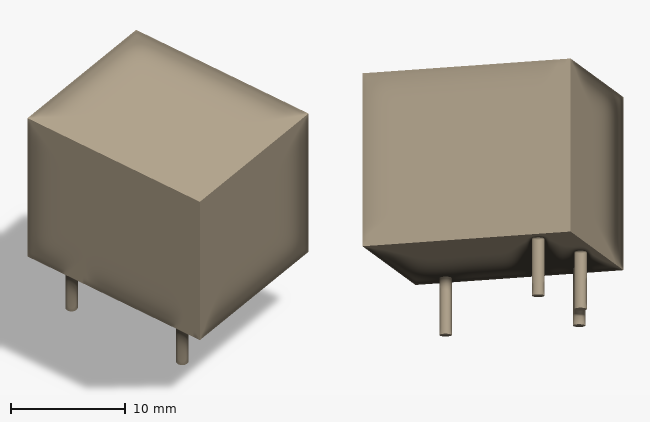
import cadquery as cq

housing_length = 19.0
housing_width = 15.5
total_height = 20.6
housing_height = 15.5

pin_diameter = 1.1
pin_length = total_height - housing_height
common_pin_x = -8.0
coil_pin_x = -6.0
contact_pin_x = 6.2
pin_row_y = 6.0

pin_places = [
    (common_pin_x, 0),
    (coil_pin_x, -pin_row_y),
    (coil_pin_x, pin_row_y),
    (contact_pin_x, -pin_row_y),
]


def make_housing():
    """Plain rectangular block, centred in X and Y."""
    return cq.Workplane("XY").box(
        housing_length, housing_width, housing_height, centered=(True, True, False)
    )


def make_pin(x, y):
    """One pin, running down from the underside of the housing."""
    return cq.Workplane("XY").center(x, y).circle(pin_diameter / 2).extrude(-pin_length)


housing = make_housing()
pins = [make_pin(x, y) for x, y in pin_places]

result = cq.Compound.makeCompound([housing.val(), *[pin.val() for pin in pins]])